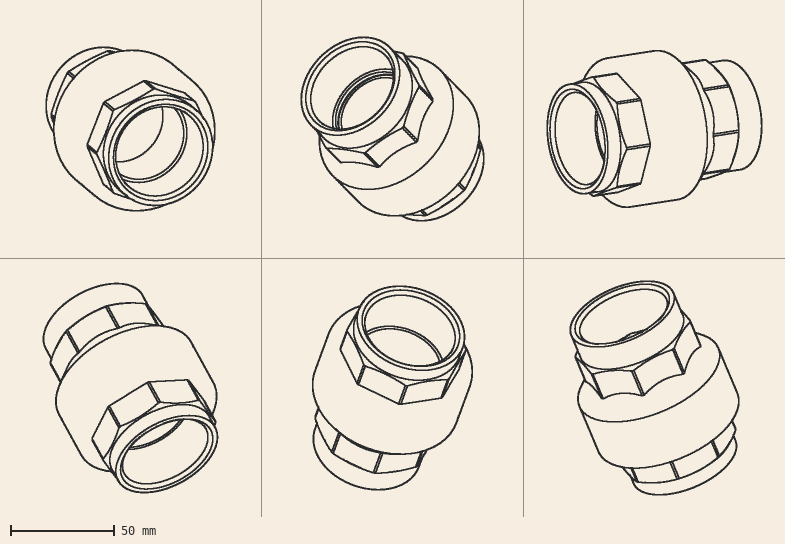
import cadquery as cq
import math


length = 89.0
octagon_start = 13.4
cone_end = 37.9
barrel_end = 66.3
octagon_end = 81.6

barrel_radius = 36.5
cone_angle = 40.7
barrel_fillet = 1.2

pipe_radius = 26.8
octagon_sides = 8
octagon_across_flats = 55.0
octagon_corner_radius = 29.55
octagon_chamfer_angle = 60.0

socket_radius = 22.5
socket_depth = 24.9
mouth_radius = 24.3
mouth_chamfer = 1.8
passage_radius = 20.9

seat_rim_radius = 20.6
seat_rim_height = 0.45
seat_x = 27.4
seat_thickness = 7.1
poppet_radius = 18.9
poppet_edge_height = 0.45
poppet_edge_radius = 18.5
poppet_half_angle = 49.0
nose_radius = 7.65


def revolve_about_x(profile):
    """Turn a closed profile, drawn as X against radius, about the X axis."""
    return profile.close().revolve(360, (0, 0, 0), (1, 0, 0))


def cylinder(start, end, radius):
    return cq.Workplane("YZ", origin=(start, 0, 0)).circle(radius).extrude(end - start)


def wrench_octagon():
    """Octagonal bar with blunted corners and conical chamfers at both ends."""
    circumscribed_diameter = octagon_across_flats / math.cos(math.pi / octagon_sides)
    octagon = (
        cq.Workplane("YZ", origin=(octagon_start, 0, 0))
        .polygon(octagon_sides, circumscribed_diameter)
        .extrude(octagon_end - octagon_start)
    )
    chamfer_rise = octagon_corner_radius - pipe_radius
    chamfer_length = chamfer_rise / math.tan(math.radians(octagon_chamfer_angle))
    envelope = revolve_about_x(
        cq.Workplane("XY")
        .moveTo(octagon_start, 0)
        .lineTo(octagon_start, pipe_radius)
        .lineTo(octagon_start + chamfer_length, octagon_corner_radius)
        .lineTo(octagon_end - chamfer_length, octagon_corner_radius)
        .lineTo(octagon_end, pipe_radius)
        .lineTo(octagon_end, 0)
    )
    return octagon.intersect(envelope)


def barrel():
    """Large round body, coned toward the inlet and rounded at its outlet edge."""
    cone_length = (barrel_radius - pipe_radius) / math.tan(math.radians(cone_angle))
    return revolve_about_x(
        cq.Workplane("XY")
        .moveTo(cone_end - cone_length, 0)
        .lineTo(cone_end - cone_length, pipe_radius)
        .lineTo(cone_end, barrel_radius)
        .lineTo(barrel_end - barrel_fillet, barrel_radius)
        .tangentArcPoint((barrel_end, barrel_radius - barrel_fillet), relative=False)
        .lineTo(barrel_end, 0)
    )


def socket(passage_depth):
    """Void of a chamfered socket at X = 0 with a narrower passage behind it."""
    return revolve_about_x(
        cq.Workplane("XY")
        .lineTo(0, mouth_radius)
        .lineTo(mouth_chamfer, socket_radius)
        .lineTo(socket_depth, socket_radius)
        .lineTo(socket_depth, passage_radius)
        .lineTo(passage_depth, passage_radius)
        .lineTo(passage_depth, 0)
    )


def poppet():
    """Seat rim and cone with a rounded nose, pointing toward the inlet."""
    rim_x = seat_x - seat_rim_height
    cone_x = rim_x - poppet_edge_height
    half_angle = math.radians(poppet_half_angle)
    nose_edge_radius = nose_radius * math.cos(half_angle)
    nose_edge_x = cone_x - (poppet_edge_radius - nose_edge_radius) / math.tan(half_angle)
    nose_center_x = nose_edge_x + nose_radius * math.sin(half_angle)
    arc_middle_angle = (math.pi / 2 - half_angle) / 2
    nose_middle = (
        nose_center_x - nose_radius * math.cos(arc_middle_angle),
        nose_radius * math.sin(arc_middle_angle),
    )
    return revolve_about_x(
        cq.Workplane("XY")
        .moveTo(nose_center_x - nose_radius, 0)
        .threePointArc(nose_middle, (nose_edge_x, nose_edge_radius))
        .lineTo(cone_x, poppet_edge_radius)
        .lineTo(rim_x, poppet_radius)
        .lineTo(rim_x, seat_rim_radius)
        .lineTo(seat_x, seat_rim_radius)
        .lineTo(seat_x, 0)
    )


outlet_socket = socket(length - seat_x - seat_thickness).rotate((0, 0, 0), (0, 0, 1), 180)

result = (
    cylinder(0, length, pipe_radius)
    .union(wrench_octagon())
    .union(barrel())
    .cut(socket(seat_x))
    .cut(outlet_socket.translate((length, 0, 0)))
    .union(poppet())
)